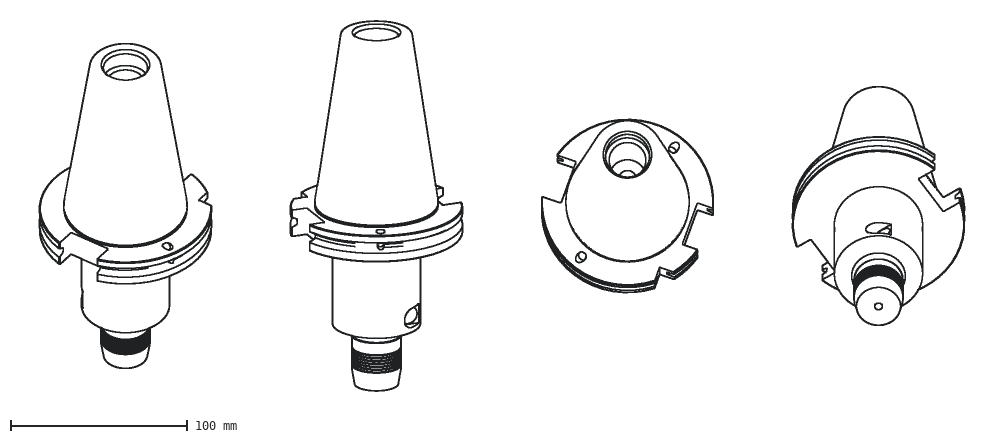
import cadquery as cq
import math

drill_slope = math.tan(math.radians(30))

gauge_radius = 69.85 / 2
taper_length = 101.6
taper_ratio = 7 / 24
taper_tip_radius = gauge_radius - taper_length * taper_ratio / 2
tip_fillet = 2.0

flange_radius = 97.5 / 2
flange_top = -3.2
flange_bottom = -19.1
flange_chamfer = 0.5
relief_radius = gauge_radius - 0.6
relief_top = -1.9
relief_flank = 0.4
groove_center = -10.6
groove_mouth_half = 3.2
groove_root_radius = 45.2
groove_root_half = 1.6
groove_root_fillet = 1.0

slot_width = 25.7
front_slot_floor = 35.4
back_slot_floor = 37.4
slot_edge_chamfer = 0.6
slot_floor_fillet = 0.7
notch_corner = 29.8
coolant_angles = (160, 340)
coolant_radius = 41.5
coolant_tilt = 45
coolant_hole_radius = 2.5
coolant_depth = 2.0
coolant_cone_depth = coolant_hole_radius * drill_slope
port_radius = 2.0
port_inner_end = 41.0

body_radius = 25.0
body_bottom = -73.7
pocket_y = -12.8
pocket_z = -65.0
pocket_width = 11.5
pocket_floor_x = -16.1
screw_cone_radius = 5.3
screw_cone_depth = screw_cone_radius

nose_bottom = -110.0
nose_radius = 13.9
neck_step = 0.4
shoulder_radius = 15.2
shoulder_z = -76.3
neck_radius = 13.6
neck_top = -79.1
shoulder_arc_radius = ((shoulder_radius - neck_radius) ** 2 + (shoulder_z - neck_top) ** 2) / (
    2 * (shoulder_radius - neck_radius)
)
neck_bottom = -80.4
nose_taper_top = -101.5
nose_end_radius = 12.5
ring_count = 7
ring_top = -87.8
ring_pitch = 1.73
ring_width = 0.5
ring_depth = 0.2

bore_mouth_radius = 13.7
counterbore_radius = 12.5
thread_radius = 10.4
passage_radius = 4.9
through_radius = 2.15
mouth_chamfer_depth = 2.2
undercut_radius = 12.8
undercut_start = 7.4
counterbore_depth = 11.0
seat_depth = 1.2
thread_depth = 50.0
passage_length = 30.0


def revolve_about_z(profile):
    """Revolve a closed XZ half-profile about the Z axis."""
    return profile.close().revolve(360, (0, 0, 0), (0, 1, 0))


def shank_and_flange():
    profile = (
        cq.Workplane("XZ")
        .moveTo(0, taper_length)
        .lineTo(taper_tip_radius, taper_length)
        .lineTo(gauge_radius, 0)
        .lineTo(gauge_radius, relief_top)
        .lineTo(relief_radius, relief_top - relief_flank)
        .lineTo(relief_radius, flange_top + relief_flank)
        .lineTo(gauge_radius, flange_top)
        .lineTo(flange_radius - flange_chamfer, flange_top)
        .lineTo(flange_radius, flange_top - flange_chamfer)
        .lineTo(flange_radius, groove_center + groove_mouth_half)
        .lineTo(groove_root_radius, groove_center + groove_root_half)
        .lineTo(groove_root_radius, groove_center - groove_root_half)
        .lineTo(flange_radius, groove_center - groove_mouth_half)
        .lineTo(flange_radius, flange_bottom + flange_chamfer)
        .lineTo(flange_radius - flange_chamfer, flange_bottom)
        .lineTo(0, flange_bottom)
    )
    box_half = (groove_root_half + groove_mouth_half) / 2
    groove_root = cq.selectors.BoxSelector(
        (-box_half, -box_half, groove_center - box_half),
        (box_half, box_half, groove_center + box_half),
    )
    solid = revolve_about_z(profile)
    return solid.faces(">Z").edges().fillet(tip_fillet).edges(groove_root).fillet(groove_root_fillet)


def body_and_nose():
    profile = (
        cq.Workplane("XZ")
        .moveTo(0, flange_bottom)
        .lineTo(body_radius, flange_bottom)
        .lineTo(body_radius, body_bottom)
        .lineTo(shoulder_radius, shoulder_z)
        .radiusArc((neck_radius, neck_top), -shoulder_arc_radius)
        .lineTo(neck_radius, neck_bottom)
        .lineTo(nose_radius, neck_bottom - neck_step)
        .lineTo(nose_radius, nose_taper_top)
        .lineTo(nose_end_radius, nose_bottom)
        .lineTo(0, nose_bottom)
    )
    return revolve_about_z(profile)


def nose_ring(index):
    """Shallow rectangular groove around the nose."""
    top = ring_top - index * ring_pitch
    tube = cq.Workplane("XY").workplane(offset=top - ring_width)
    return tube.circle(body_radius).circle(nose_radius - ring_depth).extrude(ring_width)


def axial_bore():
    thread_bottom = taper_length - thread_depth
    passage_top = thread_bottom - (thread_radius - passage_radius) * drill_slope
    passage_bottom = passage_top - passage_length
    through_top = passage_bottom - (passage_radius - through_radius) * drill_slope
    profile = (
        cq.Workplane("XZ")
        .moveTo(0, taper_length)
        .lineTo(bore_mouth_radius, taper_length)
        .lineTo(counterbore_radius, taper_length - mouth_chamfer_depth)
        .lineTo(counterbore_radius, taper_length - undercut_start)
        .lineTo(undercut_radius, taper_length - counterbore_depth)
        .lineTo(thread_radius, taper_length - counterbore_depth - seat_depth)
        .lineTo(thread_radius, thread_bottom)
        .lineTo(passage_radius, passage_top)
        .lineTo(passage_radius, passage_bottom)
        .lineTo(through_radius, through_top)
        .lineTo(through_radius, nose_bottom)
        .lineTo(0, nose_bottom)
    )
    return revolve_about_z(profile)


def drive_slot(side, floor):
    """Slot cutter opening towards +Y (side = 1) or -Y (side = -1)."""
    height = flange_top - flange_bottom
    half = slot_width / 2
    depth = flange_radius - floor
    flare = half + slot_edge_chamfer
    outer = math.sqrt(flange_radius**2 - flare**2)
    block = (
        cq.Workplane("XY")
        .workplane(offset=flange_bottom)
        .center(0, side * (floor + depth / 2))
        .rect(slot_width, depth)
        .extrude(height)
        .edges("|Z and " + ("<Y" if side > 0 else ">Y"))
        .fillet(slot_floor_fillet)
    )
    chamfer = (
        cq.Workplane("XY")
        .workplane(offset=flange_bottom)
        .polyline(
            [
                (-half, side * (outer - slot_edge_chamfer)),
                (half, side * (outer - slot_edge_chamfer)),
                (flare, side * outer),
                (flare, side * flange_radius),
                (-flare, side * flange_radius),
                (-flare, side * outer),
            ]
        )
        .close()
        .extrude(height)
    )
    return block.union(chamfer)


def orientation_notch():
    size = flange_radius - notch_corner
    return cq.Workplane("XY").box(size, size, flange_top - flange_bottom, centered=False).translate(
        (notch_corner, notch_corner, flange_bottom)
    )


def coolant_hole(angle):
    """Blind drilled hole from the flange top, slanting down towards the axis."""
    tilt = math.radians(coolant_tilt)
    start = cq.Vector(coolant_radius, 0, flange_top)
    direction = cq.Vector(-math.sin(tilt), 0, -math.cos(tilt))
    mouth = start - direction * (2 * coolant_hole_radius)
    bottom = start + direction * coolant_depth
    drill = cq.Solid.makeCylinder(coolant_hole_radius, (bottom - mouth).Length, mouth, direction)
    tip = cq.Solid.makeCone(coolant_hole_radius, 0, coolant_cone_depth, bottom, direction)
    return cq.Workplane(drill).union(cq.Workplane(tip)).rotate((0, 0, 0), (0, 0, 1), angle)


def coolant_port(angle):
    """Radial hole in the root of the flange groove."""
    start = cq.Vector(port_inner_end, 0, groove_center)
    port = cq.Solid.makeCylinder(port_radius, flange_radius - port_inner_end, start, cq.Vector(1, 0, 0))
    return cq.Workplane(port).rotate((0, 0, 0), (0, 0, 1), angle)


def screw_pocket():
    """Round-ended pocket with a vertical floor, open towards -Y, with a drill cone in the floor."""
    depth = body_radius + pocket_floor_x
    plane = cq.Plane(origin=(pocket_floor_x, pocket_y, pocket_z), xDir=(0, -1, 0), normal=(-1, 0, 0))
    round_end = cq.Workplane(plane).circle(pocket_width / 2).extrude(depth)
    open_end = cq.Workplane(plane).center(body_radius / 2, 0).rect(body_radius, pocket_width).extrude(depth)
    cone = cq.Workplane(
        cq.Solid.makeCone(
            screw_cone_radius,
            0,
            screw_cone_depth,
            cq.Vector(pocket_floor_x, pocket_y, pocket_z),
            cq.Vector(1, 0, 0),
        )
    )
    return round_end.union(open_end).union(cone)


result = shank_and_flange()
for side, floor in ((-1, front_slot_floor), (1, back_slot_floor)):
    result = result.cut(drive_slot(side, floor))
result = result.cut(orientation_notch())
for angle in coolant_angles:
    result = result.cut(coolant_hole(angle)).cut(coolant_port(angle))
result = result.union(body_and_nose())
result = result.cut(screw_pocket())
for index in range(ring_count):
    result = result.cut(nose_ring(index))
result = result.cut(axial_bore())